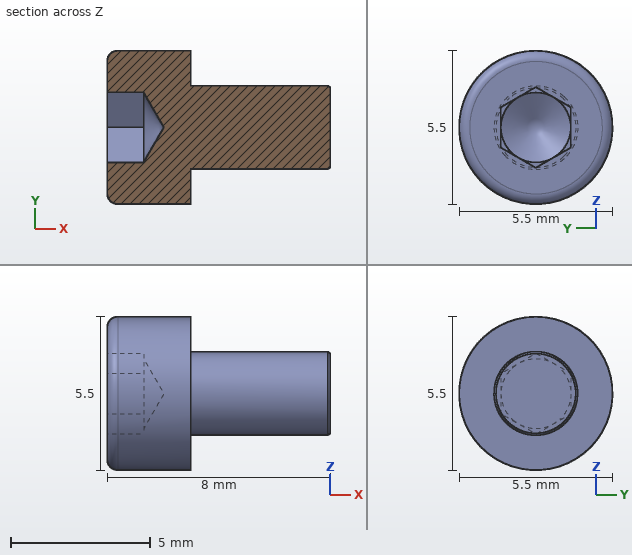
import cadquery as cq
import math

total_length = 8.0
head_length = 3.0
head_diameter = 5.5
head_edge_radius = 0.38
shank_diameter = 3.0
tip_chamfer_length = 0.1
tip_chamfer_depth = 0.07

socket_across_flats = 2.5
socket_depth = 1.3
socket_cone_angle = 120.0

socket_across_corners = socket_across_flats / math.cos(math.pi / 6)
cone_radius = socket_across_flats / 2
cone_depth = cone_radius / math.tan(math.radians(socket_cone_angle / 2))


def make_body():
    """Revolve the half profile of the head and shank about the X axis."""
    head_radius = head_diameter / 2
    shank_radius = shank_diameter / 2
    face_radius = head_radius - head_edge_radius
    arc_offset = head_edge_radius * math.sqrt(0.5)
    arc_middle = (head_edge_radius - arc_offset, face_radius + arc_offset)
    return (
        cq.Workplane("XZ")
        .lineTo(0, face_radius)
        .threePointArc(arc_middle, (head_edge_radius, head_radius))
        .lineTo(head_length, head_radius)
        .lineTo(head_length, shank_radius)
        .lineTo(total_length - tip_chamfer_length, shank_radius)
        .lineTo(total_length, shank_radius - tip_chamfer_depth)
        .lineTo(total_length, 0)
        .close()
        .revolve(360, (0, 0, 0), (1, 0, 0))
    )


def make_socket():
    """Hexagonal prism with corners on +Z and -Z, ending in a drill cone."""
    hexagon = (
        cq.Workplane("YZ")
        .transformed(rotate=(0, 0, 90))
        .polygon(6, socket_across_corners)
        .extrude(socket_depth)
    )
    cone = cq.Workplane(
        cq.Solid.makeCone(
            cone_radius, 0, cone_depth, cq.Vector(socket_depth, 0, 0), cq.Vector(1, 0, 0)
        )
    )
    return hexagon.union(cone)


result = make_body().cut(make_socket())